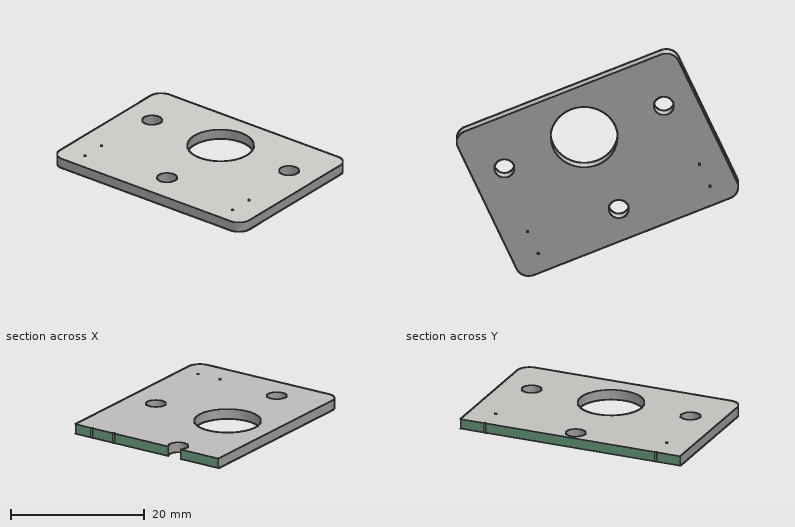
import cadquery as cq

LENGTH = 36.0
WIDTH = 26.0
THICKNESS = 1.6
CORNER_RADIUS = 2.0

BORE_DIAMETER = 10.0
BORE_Y = 5.0
MOUNT_DIAMETER = 3.0
MOUNT_OFFSET = 13.0

PIN_DIAMETER = 0.25
PIN_X = 14.0
PIN_PAIR_Y = -8.0
PIN_PITCH = 4.0


def make_plate():
    """Flat plate with rounded vertical corners, resting on Z = 0."""
    plate = cq.Workplane("XY").box(LENGTH, WIDTH, THICKNESS, centered=(True, True, False))
    return plate.edges("|Z").fillet(CORNER_RADIUS)


def drill(body, diameter, centres):
    """Cut through holes of one diameter at the given XY centres."""
    drills = cq.Workplane("XY").pushPoints(centres).circle(diameter / 2).extrude(THICKNESS)
    return body.cut(drills)


mount_centres = [
    (-MOUNT_OFFSET, BORE_Y),
    (MOUNT_OFFSET, BORE_Y),
    (0, BORE_Y - MOUNT_OFFSET),
]
pin_centres = [
    (side * PIN_X, PIN_PAIR_Y + end * PIN_PITCH / 2)
    for side in (-1, 1)
    for end in (-1, 1)
]

result = make_plate()
result = drill(result, BORE_DIAMETER, [(0, BORE_Y)])
result = drill(result, MOUNT_DIAMETER, mount_centres)
result = drill(result, PIN_DIAMETER, pin_centres)